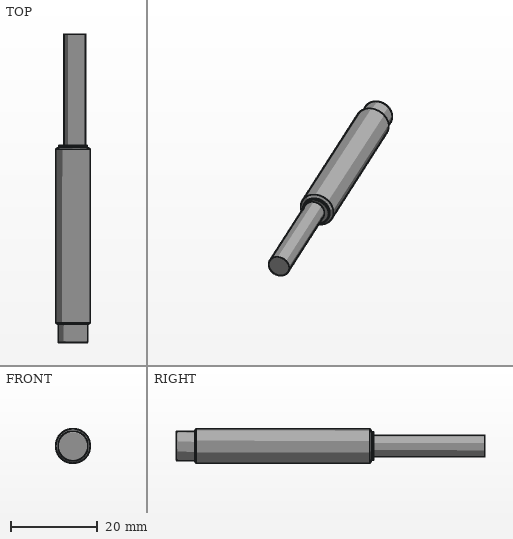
import cadquery as cq
import math

overall_length = 71.2

cable_diameter = 5.0
cable_length = 25.6
cable_offset_x = 0.4

barrel_radius = 8.0 / 2
tip_radius = 6.9 / 2
collar_radius = 6.5 / 2
tip_length = 4.25
tip_fillet = 0.4
front_cone_length = 0.35
rear_cone_length = 0.4
collar_length = 0.5
collar_chamfer = 0.15

housing_length = overall_length - cable_length
collar_start = housing_length - collar_length


def make_housing():
    """Revolved housing: rounded tip, barrel with a cone at each end, and chamfered rear collar."""
    arc_middle = tip_fillet * (1 - math.sqrt(0.5))
    profile = (
        cq.Workplane("XY")
        .lineTo(tip_radius - tip_fillet, 0)
        .threePointArc((tip_radius - arc_middle, arc_middle), (tip_radius, tip_fillet))
        .lineTo(tip_radius, tip_length)
        .lineTo(barrel_radius, tip_length + front_cone_length)
        .lineTo(barrel_radius, collar_start - rear_cone_length)
        .lineTo(collar_radius, collar_start)
        .lineTo(collar_radius, housing_length - collar_chamfer)
        .lineTo(collar_radius - collar_chamfer, housing_length)
        .lineTo(0, housing_length)
        .close()
    )
    return profile.revolve(360, (0, 0), (0, 1))


def make_cable():
    """Plain round cable that butts against the rear face of the collar."""
    start_plane = cq.Workplane("XZ", origin=(cable_offset_x, housing_length, 0))
    return start_plane.circle(cable_diameter / 2).extrude(-cable_length)


housing = make_housing()
cable = make_cable()

result = cq.Compound.makeCompound([housing.val(), cable.val()])